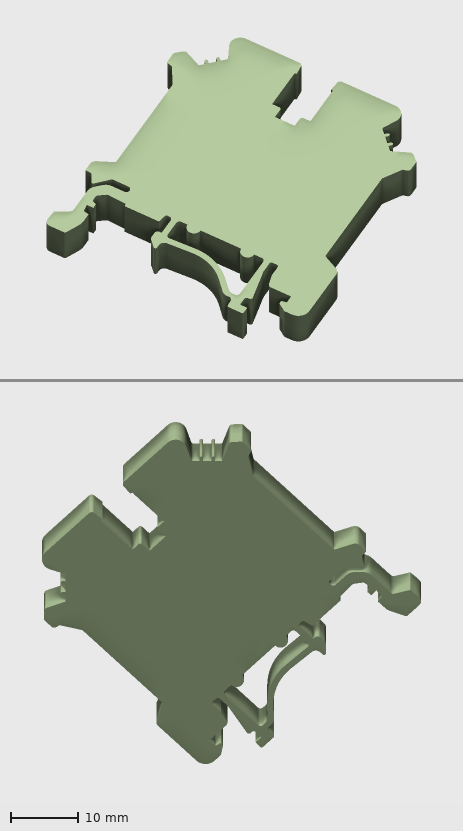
import cadquery as cq
import math


width = 42.55
height = 45.65
thickness = 6.1
left_end = -21.4
right_end = left_end + width

body_half = 18.0
body_top = 32.65
body_bottom = 15.6
shoulder_y = 14.05
rail_ceiling = 10.6

sharp = 0.0
tiny_round = 0.2
small_round = 0.35
medium_round = 0.55
large_round = 1.0
head_round = 1.7
hook_round = 3.9 / 2

slot_half = 3.3
slot_bottom_half = 1.7
slot_bottom_y = 34.88
slot_step_y = 36.8
lip_half = 3.15
catch_half = 2.95
catch_y = 43.55

head_half_width = 15.55
groove_inner_x = 13.25
groove_inner_y = 40.95
groove_run = 3.2

ear_tip_x = 19.5
ear_tip_y = 39.15
ear_side_x = 20.85
ear_side_top = 37.95
ear_side_bottom = 35.9
ear_root_x = 19.8
ear_root_y = 35.6

rib_width = 0.55
rib_height = 0.78
rib_offsets = (1.0, 2.3)

hook_slot_x = 12.87
hook_slot_bend_y = 8.55
hook_ceiling_left_x = 13.45
hook_ceiling_y = 6.4
hook_wall_x = 17.4
hook_lip_x = 16.53
hook_lip_top = 4.95
hook_lip_bottom = 4.4
hook_bottom_x = 17.9
hook_bottom_y = 3.45

post_width = 0.95
left_post_inner_x = -4.45
left_post_outer_x = left_post_inner_x - post_width
right_post_inner_x = 10.5
right_post_outer_x = right_post_inner_x + post_width
right_post_bend_y = 8.5

catch_tip_x = 12.65
catch_tip_y = 2.9
neck_x = 11.55
spring_foot_left_x = 10.05
spring_foot_right_x = 12.8
spring_foot_height = 1.3
foot_root_x = 9.95
foot_root_y = 1.75

bow_thickness = 0.95
bow_top_x = 0.5
bow_bend_x = 4.5
bow_top_y = 7.2
bow_under_bend_x = 4.2
bow_under_y = bow_top_y - bow_thickness
bow_under_left_y = 5.95
bow_round = 8.45
bow_foot_x = 8.45
bow_foot_round = 1.35
window_floor_left_x = 9.05
window_floor_y = 2.55
window_left_floor_y = 7.0

toe_left_x = -6.3
toe_right_x = -4.55
toe_top_y = 7.35
toe_side_y = 5.6
toe_tip_y = 3.9
toe_round = 0.9
toe_tip_round = 0.27

tooth_diameter = 2.25
tooth_xs = (-1.7, 7.55)

pad_top_right_x = -6.5
pad_right_x = -6.8
pad_left_x = -12.7
pad_y = 9.0
pad_step_x = -12.8
pad_step_y = 9.45

arm_outer_x = -18.95
arm_inner_x = -17.35
arm_top_y = 11.35
arm_under_x = -16.0
arm_under_y = 9.65
arm_inner_top = 8.65
arm_inner_bottom = 7.5
arm_bevel = 1.9
arm_outer_round = 1.83
arm_inner_round = 0.45
jaw_x = -16.55
jaw_top = 7.15
notch_top = 6.4
notch_top_x = -17.7
notch_bottom_x = -17.55
notch_bottom = 5.15
lower_jaw_top = 4.98
lower_jaw_bottom = 2.95
lower_jaw_round = 2.3

clip_foot_y = 0.2
clip_foot_round = 0.9
clip_foot_right_x = -17.85
clip_foot_side_y = 1.65
clip_foot_top_x = -21.3
clip_foot_top_y = 2.9
arm_foot_y = 4.3

gap_end_x = -13.5
gap_top_y = 12.5
gap_bend_x = -16.85
shoulder_left_x = -21.2
shoulder_under_y = 12.0
shoulder_under_x = -20.15
shoulder_point_x = -19.1
shoulder_point_y = 10.2
shoulder_point_round = 0.27


def tangent_arc(before, corner, after):
    """Points of a corner: the corner itself, or start, middle and end of its arc."""
    here = cq.Vector(*corner[:2])
    radius = corner[2]
    if radius == sharp:
        return [here.toTuple()[:2]]
    to_before = (cq.Vector(*before[:2]) - here).normalized()
    to_after = (cq.Vector(*after[:2]) - here).normalized()
    half_angle = to_before.getAngle(to_after) / 2
    tangent_length = radius / math.tan(half_angle)
    corner_to_arc = radius / math.sin(half_angle) - radius
    start = here + to_before * tangent_length
    middle = here + (to_before + to_after).normalized() * corner_to_arc
    end = here + to_after * tangent_length
    return [point.toTuple()[:2] for point in (start, middle, end)]


def rounded_prism(corners):
    """Prism over a closed outline of (x, y, radius) corners, each rounded by its radius."""
    stretches = []
    for i, corner in enumerate(corners):
        after = corners[(i + 1) % len(corners)]
        stretches.append(tangent_arc(corners[i - 1], corner, after))

    outline = cq.Workplane("XY").moveTo(*stretches[-1][-1])
    for stretch in stretches:
        outline = outline.lineTo(*stretch[0])
        if len(stretch) > 1:
            outline = outline.threePointArc(stretch[1], stretch[2])
    return outline.close().extrude(thickness)


def mirrored(corners):
    """The same corners on the other side of X = 0, in reverse order."""
    return [(-x, y, radius) for x, y, radius in reversed(corners)]


def head_half():
    """Right half of the head, from the wire slot out and down to the body side."""
    return [
        (slot_bottom_half, slot_bottom_y, sharp),
        (slot_bottom_half, slot_step_y, small_round),
        (slot_half, slot_step_y, sharp),
        (slot_half, catch_y, sharp),
        (catch_half, catch_y, sharp),
        (lip_half, height, medium_round),
        (head_half_width, height, head_round),
        (groove_inner_x, groove_inner_y, small_round),
        (groove_inner_x + groove_run, groove_inner_y - groove_run, sharp),
        (ear_tip_x, ear_tip_y, medium_round),
        (ear_side_x, ear_side_top, small_round),
        (ear_side_x, ear_side_bottom, medium_round),
        (ear_root_x, ear_root_y, sharp),
        (body_half, body_top, sharp),
    ]


def right_hook():
    """Right shoulder and fixed hook, up to the slot beside the spring."""
    return [
        (body_half, body_bottom, sharp),
        (right_end, shoulder_y, large_round),
        (right_end, hook_bottom_y, hook_round),
        (hook_bottom_x, hook_bottom_y, medium_round),
        (hook_lip_x, hook_lip_bottom, small_round),
        (hook_lip_x, hook_lip_top, tiny_round),
        (hook_wall_x, hook_lip_top + tiny_round, sharp),
        (hook_wall_x, hook_ceiling_y, sharp),
        (hook_ceiling_left_x, hook_ceiling_y, medium_round),
        (hook_slot_x, hook_slot_bend_y, sharp),
        (hook_slot_x, rail_ceiling, small_round),
    ]


def spring_right_post():
    """Outer side of the right post, with its catch and foot."""
    return [
        (right_post_outer_x, rail_ceiling, small_round),
        (right_post_outer_x, right_post_bend_y, sharp),
        (catch_tip_x, catch_tip_y, small_round),
        (neck_x, catch_tip_y, small_round),
        (neck_x, spring_foot_height, tiny_round),
        (spring_foot_right_x, spring_foot_height, sharp),
        (spring_foot_right_x, 0, tiny_round),
        (spring_foot_left_x, 0, tiny_round),
        (foot_root_x, foot_root_y, medium_round),
    ]


def spring_bow_and_toe():
    """Underside of the bowed strip, then the toe and outer side of the left post."""
    return [
        (bow_foot_x, foot_root_y, bow_foot_round),
        (bow_under_bend_x, bow_under_y, bow_round - bow_thickness),
        (bow_top_x, bow_under_y, sharp),
        (toe_right_x, bow_under_left_y, toe_round),
        (toe_right_x, toe_tip_y, toe_tip_round),
        (toe_left_x, toe_side_y, toe_round),
        (toe_left_x, toe_top_y, medium_round),
        (left_post_outer_x, toe_top_y, sharp),
        (left_post_outer_x, rail_ceiling, medium_round),
    ]


def pad():
    return [
        (pad_top_right_x, rail_ceiling, small_round),
        (pad_right_x, pad_y, sharp),
        (pad_left_x, pad_y, sharp),
        (pad_step_x, pad_step_y, sharp),
    ]


def clip_arm_inside():
    """Inner side of the clip arm, from its root down past the notched jaw."""
    return [
        (arm_under_x, arm_under_y, arm_inner_round),
        (arm_inner_x, arm_inner_top, arm_inner_round),
        (arm_inner_x, arm_inner_bottom, small_round),
        (jaw_x, jaw_top, sharp),
        (jaw_x, notch_top, sharp),
        (notch_top_x, notch_top, sharp),
        (notch_bottom_x, notch_bottom, sharp),
        (jaw_x, lower_jaw_top, sharp),
        (jaw_x, lower_jaw_bottom, lower_jaw_round),
    ]


def clip_arm_outside():
    """Foot of the clip arm and its outer side, up to the end of the gap."""
    return [
        (clip_foot_right_x, clip_foot_y, small_round),
        (left_end, clip_foot_y, clip_foot_round),
        (left_end, clip_foot_side_y, sharp),
        (clip_foot_top_x, clip_foot_top_y, tiny_round),
        (arm_outer_x, arm_foot_y, medium_round),
        (arm_outer_x, arm_top_y - arm_bevel, arm_outer_round),
        (arm_outer_x + arm_bevel, arm_top_y, arm_outer_round),
        (gap_end_x, arm_top_y, medium_round),
    ]


def left_shoulder():
    return [
        (gap_end_x, gap_top_y, medium_round),
        (gap_bend_x, gap_top_y, sharp),
        (shoulder_point_x, shoulder_point_y, shoulder_point_round),
        (shoulder_under_x, shoulder_under_y, small_round),
        (shoulder_left_x, shoulder_under_y, tiny_round),
        (shoulder_left_x, shoulder_y, large_round),
        (-body_half, body_bottom, sharp),
    ]


def spring_window():
    """Opening between the posts, the rail ceiling and the top of the bowed strip."""
    return [
        (left_post_inner_x, rail_ceiling, medium_round),
        (right_post_inner_x, rail_ceiling, medium_round),
        (right_post_inner_x, window_floor_y, medium_round),
        (window_floor_left_x, window_floor_y, large_round),
        (bow_bend_x, bow_top_y, bow_round),
        (bow_top_x, bow_top_y, sharp),
        (left_post_inner_x, window_left_floor_y, medium_round),
    ]


def window_teeth():
    """Round teeth whose lower halves hang from the rail ceiling."""
    centers = [(x, rail_ceiling) for x in tooth_xs]
    return cq.Workplane("XY").pushPoints(centers).circle(tooth_diameter / 2).extrude(thickness)


def groove_rib(offset):
    """Round-ended rib standing square on the right groove floor."""
    return (
        cq.Workplane("XY")
        .center(groove_inner_x + offset, groove_inner_y - offset)
        .slot2D(2 * rib_height, rib_width, angle=45)
        .extrude(thickness)
    )


outline_corners = (
    head_half()
    + right_hook()
    + spring_right_post()
    + spring_bow_and_toe()
    + pad()
    + clip_arm_inside()
    + clip_arm_outside()
    + left_shoulder()
    + mirrored(head_half())
)
result = rounded_prism(outline_corners)
result = result.cut(rounded_prism(spring_window()))
result = result.union(window_teeth())

for rib_offset in rib_offsets:
    right_rib = groove_rib(rib_offset)
    left_rib = right_rib.mirror("YZ")
    result = result.union(right_rib).union(left_rib)